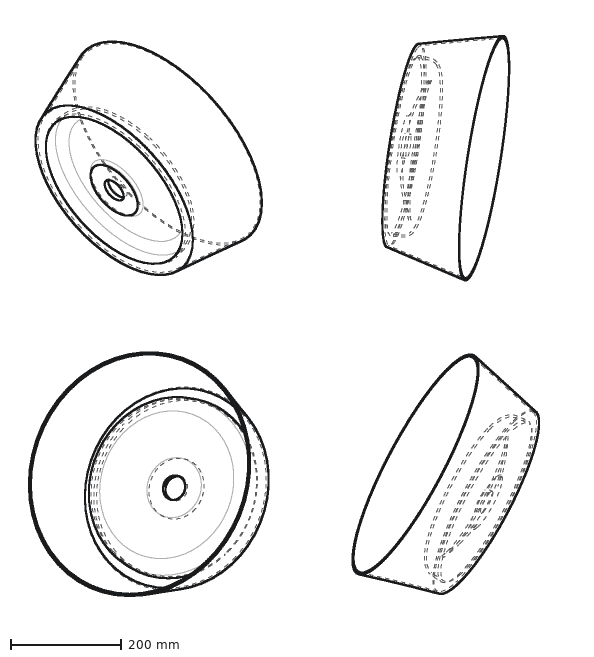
import cadquery as cq
import math

width = 150.0
front_y = -width / 2
front_radius = 187.5
back_radius = 225.0
cone_half_angle = math.atan((back_radius - front_radius) / width)

shell = 4.0

hole_radius = 22.5
hub_base_radius = 57.0
hub_draft = math.radians(20)
hub_fillet = 8.0
hub_thickness = 10.0

dome_radius = 285.0
dome_apex_depth = 0.5
dome_centre = (0.0, dome_apex_depth + dome_radius)

groove_fillet = 15.0
groove_outer_radius = 160.5
wall_draft = math.radians(5)


def polar(centre, radius, angle):
    """Point on a circle; the angle runs from the outward radial toward greater depth."""
    return (centre[0] + radius * math.cos(angle), centre[1] + radius * math.sin(angle))


def circle_on_dome(centre_radius, circle_radius):
    """Centre of a circle that rests on the front of the dome."""
    reach = dome_radius + circle_radius
    return (centre_radius, dome_centre[1] - math.sqrt(reach**2 - centre_radius**2))


def direction_from_dome(point):
    """Angle of the line from the dome centre to a point."""
    return math.atan2(point[1] - dome_centre[1], point[0] - dome_centre[0])


def placed(point):
    """Profile point in the XY plane."""
    radius, depth = point
    return (radius, front_y + depth)


hub_centre = circle_on_dome(
    hub_base_radius + hub_fillet * math.cos(hub_draft), hub_fillet
)
hub_dome_angle = direction_from_dome(hub_centre)
hub_side_angle = math.pi - hub_draft
hub_fillet_mid_angle = (hub_side_angle + hub_dome_angle + math.pi) / 2

groove_centre = circle_on_dome(
    groove_outer_radius - groove_fillet * math.cos(wall_draft), groove_fillet
)
groove_dome_angle = direction_from_dome(groove_centre)
groove_start_angle = groove_dome_angle + math.pi
groove_mid_angle = (groove_start_angle + wall_draft) / 2

inner_dome_radius = dome_radius - shell
hub_back_angle = -math.asin((dome_centre[1] - hub_thickness) / inner_dome_radius)


def drafted_radius(start, depth, draft):
    """Radius at a given depth on a wall through a point; a positive draft narrows with depth."""
    return start[0] + (start[1] - depth) * math.tan(draft)


def inner_cone_radius(depth):
    return front_radius + depth * math.tan(cone_half_angle) - shell / math.cos(cone_half_angle)


def make_profile():
    hub_side_end = polar(hub_centre, hub_fillet, hub_side_angle)
    front_wall_end = polar(groove_centre, groove_fillet, wall_draft)
    back_groove_radius = groove_fillet + shell
    back_wall_end = polar(groove_centre, back_groove_radius, wall_draft)
    front_dome_mid_angle = (hub_dome_angle + groove_dome_angle) / 2
    back_dome_mid_angle = (hub_back_angle + groove_dome_angle) / 2

    outline = cq.Workplane("XY").moveTo(*placed((hole_radius, 0)))

    outline = (
        outline.lineTo(*placed((drafted_radius(hub_side_end, 0, -hub_draft), 0)))
        .lineTo(*placed(hub_side_end))
        .threePointArc(
            placed(polar(hub_centre, hub_fillet, hub_fillet_mid_angle)),
            placed(polar(dome_centre, dome_radius, hub_dome_angle)),
        )
        .threePointArc(
            placed(polar(dome_centre, dome_radius, front_dome_mid_angle)),
            placed(polar(dome_centre, dome_radius, groove_dome_angle)),
        )
        .threePointArc(
            placed(polar(groove_centre, groove_fillet, groove_mid_angle)),
            placed(front_wall_end),
        )
        .lineTo(*placed((drafted_radius(front_wall_end, 0, wall_draft), 0)))
        .lineTo(*placed((front_radius, 0)))
    )

    outline = (
        outline.lineTo(*placed((back_radius, width)))
        .lineTo(*placed((inner_cone_radius(width), width)))
        .lineTo(*placed((inner_cone_radius(shell), shell)))
    )

    outline = (
        outline.lineTo(*placed((drafted_radius(back_wall_end, shell, wall_draft), shell)))
        .lineTo(*placed(back_wall_end))
        .threePointArc(
            placed(polar(groove_centre, back_groove_radius, groove_mid_angle)),
            placed(polar(dome_centre, inner_dome_radius, groove_dome_angle)),
        )
        .threePointArc(
            placed(polar(dome_centre, inner_dome_radius, back_dome_mid_angle)),
            placed(polar(dome_centre, inner_dome_radius, hub_back_angle)),
        )
        .lineTo(*placed((hole_radius, hub_thickness)))
    )
    return outline.close()


result = make_profile().revolve(360, (0, 0, 0), (0, 1, 0))